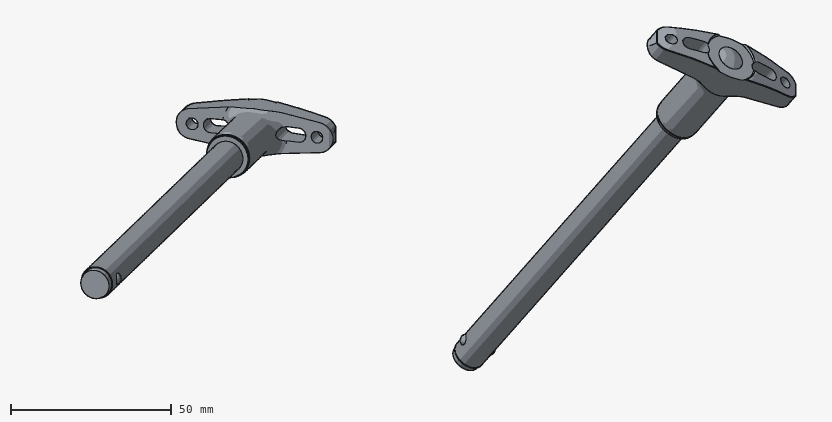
import cadquery as cq
import math


SHAFT_LENGTH = 130.0
SHAFT_RADIUS = 5.15
TIP_LENGTH = 2.0
TIP_START_RADIUS = 4.85
TIP_END_RADIUS = 4.65
BALL_RADIUS = 2.0
BALL_FROM_TIP = 7.5
BALL_PROTRUSION = 0.9

COLLAR_RADIUS = 7.25
COLLAR_RING_RADIUS = 6.8
COLLAR_RING_LENGTH = 0.9
COLLAR_TAPER_LENGTH = 1.6
COLLAR_TAPER_DEPTH = 0.15
FLARE_RADIUS = 4.65

HEAD_LENGTH = 35.4
HANDLE_LENGTH = 51.5
HANDLE_WIDTH = 15.79
HANDLE_END_RADIUS = 5.0
HANDLE_MIDDLE_RADIUS = 9.0
HANDLE_DEPTH_AT_FLARE = 8.15
HANDLE_END_DEPTH = 8.75
CROWN_DROP = 3.6
UNDERSIDE_DROP = 0.8
END_BEVEL_LENGTH = 1.2
END_BEVEL_DEPTH = 0.3
END_FLAT_TOP_INSET = 0.7
HOLE_RADIUS = 1.9
HOLE_X = 20.5
SLOT_WIDTH = 4.6
SLOT_INNER_X = 7.7
SLOT_OUTER_X = 16.8
CROWN_CHAMFER = 0.2
DISH_RADIUS = 8.9
DISH_FLOOR_RADIUS = 8.4
DISH_DEPTH = 0.9
BUTTON_RADIUS = 4.2

OVERLAP = 1.0

HALF_LENGTH = HANDLE_LENGTH / 2
HALF_WIDTH = HANDLE_WIDTH / 2
UNDERSIDE_Y = HEAD_LENGTH - HANDLE_DEPTH_AT_FLARE
FLARE_END_Y = UNDERSIDE_Y - FLARE_RADIUS
FLARE_OUTER_RADIUS = COLLAR_RADIUS + FLARE_RADIUS


def revolve_about_shaft(profile):
    """Revolve a closed (radius, y) profile about the Y axis."""
    return profile.close().revolve(360, (0, 0, 0), (0, 1, 0))


def extrude_across(profile):
    """Extrude a closed XY outline across the full handle width, centred on Z = 0."""
    return profile.close().extrude(HALF_WIDTH + OVERLAP, both=True)


def handle_plan():
    """Diamond-like XZ outline: two end arcs and two middle arcs joined by tangent lines."""
    end_x = HALF_LENGTH - HANDLE_END_RADIUS
    middle_z = HALF_WIDTH - HANDLE_MIDDLE_RADIUS
    reach = math.hypot(end_x, middle_z)
    tilt = math.asin((HANDLE_MIDDLE_RADIUS - HANDLE_END_RADIUS) / reach) + math.atan2(middle_z, end_x)
    sin_tilt = math.sin(tilt)
    cos_tilt = math.cos(tilt)
    end_tangent_x = end_x + HANDLE_END_RADIUS * sin_tilt
    end_tangent_z = HANDLE_END_RADIUS * cos_tilt
    middle_tangent_x = HANDLE_MIDDLE_RADIUS * sin_tilt
    middle_tangent_z = middle_z + HANDLE_MIDDLE_RADIUS * cos_tilt
    return (
        cq.Workplane("XZ", origin=(0, HEAD_LENGTH, 0))
        .moveTo(middle_tangent_x, middle_tangent_z)
        .lineTo(end_tangent_x, end_tangent_z)
        .threePointArc((HALF_LENGTH, 0), (end_tangent_x, -end_tangent_z))
        .lineTo(middle_tangent_x, -middle_tangent_z)
        .threePointArc((0, -HALF_WIDTH), (-middle_tangent_x, -middle_tangent_z))
        .lineTo(-end_tangent_x, -end_tangent_z)
        .threePointArc((-HALF_LENGTH, 0), (-end_tangent_x, end_tangent_z))
        .lineTo(-middle_tangent_x, middle_tangent_z)
        .threePointArc((0, HALF_WIDTH), (middle_tangent_x, middle_tangent_z))
        .close()
        .extrude(HEAD_LENGTH)
    )


def handle_side():
    """XY profile of the handle: crowned top, sloping underside and sloping ends."""
    crown_end_y = HEAD_LENGTH - CROWN_DROP
    end_low_y = HEAD_LENGTH - HANDLE_END_DEPTH
    bevel_x = HALF_LENGTH - END_BEVEL_LENGTH
    bevel_y = end_low_y + END_BEVEL_DEPTH
    crown_end_x = HALF_LENGTH - END_FLAT_TOP_INSET
    return extrude_across(
        cq.Workplane("XY")
        .moveTo(-bevel_x, end_low_y)
        .lineTo(-HALF_LENGTH, bevel_y)
        .lineTo(-crown_end_x, crown_end_y)
        .threePointArc((0, HEAD_LENGTH), (crown_end_x, crown_end_y))
        .lineTo(HALF_LENGTH, bevel_y)
        .lineTo(bevel_x, end_low_y)
        .lineTo(0, end_low_y + UNDERSIDE_DROP)
    )


def collar():
    """Collar body with its end ring and the flare that blends it into the handle."""
    diagonal = FLARE_RADIUS * math.sqrt(0.5)
    flare_middle = (FLARE_OUTER_RADIUS - diagonal, FLARE_END_Y + diagonal)
    return revolve_about_shaft(
        cq.Workplane("XY")
        .moveTo(0, 0)
        .lineTo(COLLAR_RING_RADIUS, 0)
        .lineTo(COLLAR_RING_RADIUS, COLLAR_RING_LENGTH)
        .lineTo(COLLAR_RADIUS - COLLAR_TAPER_DEPTH, COLLAR_RING_LENGTH)
        .lineTo(COLLAR_RADIUS, COLLAR_RING_LENGTH + COLLAR_TAPER_LENGTH)
        .lineTo(COLLAR_RADIUS, FLARE_END_Y)
        .threePointArc(flare_middle, (FLARE_OUTER_RADIUS, UNDERSIDE_Y))
        .lineTo(FLARE_OUTER_RADIUS, UNDERSIDE_Y + OVERLAP)
        .lineTo(0, UNDERSIDE_Y + OVERLAP)
    )


def shaft():
    """Shaft with its stepped, slightly tapered tip."""
    tip_start_y = TIP_LENGTH - SHAFT_LENGTH
    return revolve_about_shaft(
        cq.Workplane("XY")
        .moveTo(0, OVERLAP)
        .lineTo(SHAFT_RADIUS, OVERLAP)
        .lineTo(SHAFT_RADIUS, tip_start_y)
        .lineTo(TIP_START_RADIUS, tip_start_y)
        .lineTo(TIP_END_RADIUS, -SHAFT_LENGTH)
        .lineTo(0, -SHAFT_LENGTH)
    )


def balls():
    """Two locking balls standing out of opposite sides of the shaft near its tip."""
    x = SHAFT_RADIUS + BALL_PROTRUSION - BALL_RADIUS
    plane = cq.Workplane("XZ", origin=(0, BALL_FROM_TIP - SHAFT_LENGTH, 0))
    return plane.pushPoints([(-x, 0), (x, 0)]).sphere(BALL_RADIUS)


def openings():
    """A round hole and a long slot through each handle arm."""
    plane = cq.Workplane("XZ", origin=(0, HEAD_LENGTH, 0))
    slot_length = SLOT_OUTER_X - SLOT_INNER_X
    slot_x = (SLOT_INNER_X + SLOT_OUTER_X) / 2
    holes = plane.pushPoints([(-HOLE_X, 0), (HOLE_X, 0)]).circle(HOLE_RADIUS).extrude(HEAD_LENGTH)
    slot_outlines = plane.pushPoints([(-slot_x, 0), (slot_x, 0)]).slot2D(slot_length, SLOT_WIDTH)
    return holes.union(slot_outlines.extrude(HEAD_LENGTH))


def dish():
    """Shallow ring recess in the crown around a domed centre button."""
    floor_y = HEAD_LENGTH - DISH_DEPTH
    dome_radius = (BUTTON_RADIUS**2 + DISH_DEPTH**2) / (2 * DISH_DEPTH)
    half_radius = BUTTON_RADIUS / 2
    half_radius_y = HEAD_LENGTH - dome_radius + math.sqrt(dome_radius**2 - half_radius**2)
    return revolve_about_shaft(
        cq.Workplane("XY")
        .moveTo(0, HEAD_LENGTH)
        .threePointArc((half_radius, half_radius_y), (BUTTON_RADIUS, floor_y))
        .lineTo(DISH_FLOOR_RADIUS, floor_y)
        .lineTo(DISH_RADIUS, HEAD_LENGTH)
    )


head = handle_side().union(collar()).intersect(handle_plan())
head = head.faces(">Y").chamfer(CROWN_CHAMFER)
result = head.cut(openings()).cut(dish()).union(shaft()).union(balls())